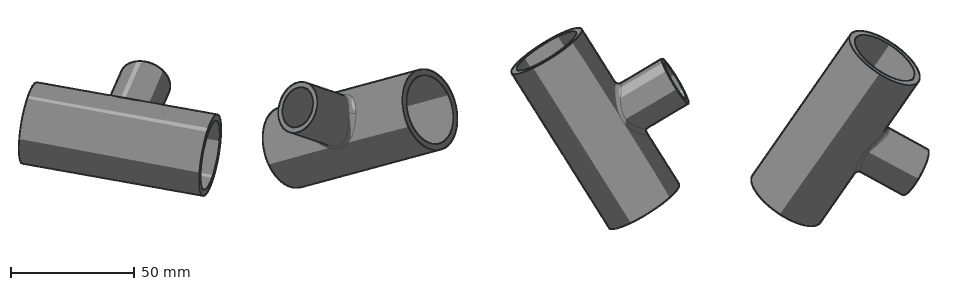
import cadquery as cq

main_length = 76.0
main_diameter = 33.7
main_bore = 28.5
branch_reach = 38.0
branch_diameter = 21.3
branch_bore = 16.7
neck_fillet = 2.0


def main_cylinder(diameter):
    """Cylinder along X, centred on the origin."""
    return cq.Workplane("YZ").circle(diameter / 2).extrude(main_length / 2, both=True)


def branch_cylinder(diameter):
    """Cylinder from the main axis out to the branch end face at +Y."""
    return cq.Workplane("XZ").circle(diameter / 2).extrude(-branch_reach)


seam_box = cq.selectors.BoxSelector(
    (-branch_diameter, 0, -main_diameter),
    (branch_diameter, main_diameter / 2 + neck_fillet, main_diameter),
)
body = main_cylinder(main_diameter).union(branch_cylinder(branch_diameter))
body = body.edges(seam_box).fillet(neck_fillet)

result = body.cut(main_cylinder(main_bore)).cut(branch_cylinder(branch_bore))